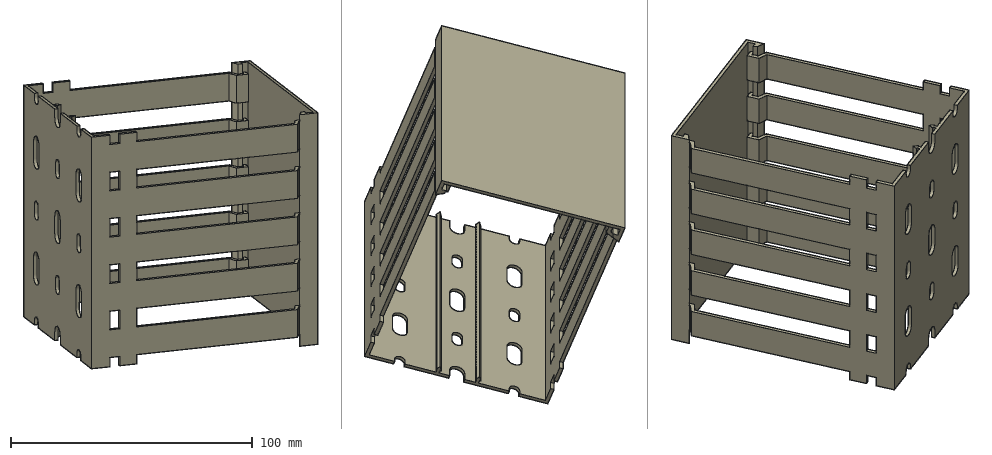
import cadquery as cq
WIDTH = 80.0
DEPTH = 100.0
LENGTH = 100.0
HALF_WIDTH = WIDTH / 2
FRONT = -DEPTH / 2
BACK = DEPTH / 2

SIDE_WALL = 1.6
FLOOR = 1.5

COVER_WALL = 1.5
COVER_LEG = 8.1
LIP_TOP = 4.6
LIP_NOSE = 6.4
LIP_REACH = 3.7
LIP_NOSE_REACH = 3.2

HOOK_TOP = 2.7
HOOK_UNDERSIDE = 4.2
HOOK_TIP_INSET = 1.9
HOOK_INNER_INSET = 3.8
HOOK_OUTER_INSET = 5.5
HOOK_BEND_OUTER = 7.0
HOOK_BEND_INNER = 8.1
FINGER_TOP_OUTER = 9.0
FINGER_TOP_INNER = 9.9

FINGER_PITCH = 20.0
SLOT_HEIGHT = 8.0
SLOT_FLOOR = 20.0
WINDOW_START = 8.2
WINDOW_END = 12.5

HOLE_PITCH = 25.0
LARGE_HOLE_WIDTH = 6.5
LARGE_HOLE_LENGTH = 14.0
SMALL_HOLE_WIDTH = 4.5
SMALL_HOLE_LENGTH = 8.0

RIB_OFFSET = 8.6
RIB_STEM = 1.4
RIB_HEAD = 2.4
RIB_BARB_HEIGHT = 1.3
RIB_HEIGHT = 3.3


def extrude_section(points):
    """Extrude a closed outline in the XY plane over the full length."""
    return cq.Workplane("XY").polyline(points).close().extrude(LENGTH / 2, both=True)


def mirrored_outline(right_half):
    """Close an outline that is symmetric about X = 0 from its right half."""
    return right_half + [(-x, y) for x, y in reversed(right_half)]


def at_side(inset, drop):
    """Point on the right side, by inset from the side face and drop from the cover face."""
    return (HALF_WIDTH - inset, BACK - drop)


def make_cover():
    return extrude_section(mirrored_outline([
        at_side(SIDE_WALL, COVER_WALL),
        at_side(SIDE_WALL, LIP_TOP),
        at_side(LIP_REACH, LIP_TOP),
        at_side(LIP_NOSE_REACH, LIP_NOSE),
        at_side(0, COVER_LEG),
        at_side(0, 0),
    ]))


def make_duct_shell():
    """Floor and two side walls, with the snap hooks along the wall ends."""
    return extrude_section(mirrored_outline([
        (HALF_WIDTH, FRONT),
        at_side(0, FINGER_TOP_OUTER),
        at_side(HOOK_INNER_INSET, HOOK_BEND_OUTER),
        at_side(HOOK_INNER_INSET, HOOK_UNDERSIDE),
        at_side(HOOK_TIP_INSET, HOOK_UNDERSIDE),
        at_side(HOOK_TIP_INSET, HOOK_TOP),
        at_side(HOOK_OUTER_INSET, HOOK_TOP),
        at_side(HOOK_OUTER_INSET, HOOK_BEND_INNER),
        at_side(SIDE_WALL, FINGER_TOP_INNER),
        (HALF_WIDTH - SIDE_WALL, FRONT + FLOOR),
    ]))


def make_rib(center_x):
    floor_y = FRONT + FLOOR
    barb_y = floor_y + RIB_BARB_HEIGHT
    right_half = [
        (RIB_STEM / 2, FRONT + FLOOR / 2),
        (RIB_STEM / 2, barb_y),
        (RIB_HEAD / 2, barb_y),
    ]
    tip = (0, floor_y + RIB_HEIGHT)
    left_half = [(-x, y) for x, y in reversed(right_half)]
    return extrude_section(right_half + [tip] + left_half).translate((center_x, 0, 0))


def side_cut(start_y, end_y, center_z):
    """Rectangular cut of slot height passing through both side walls."""
    return (
        cq.Workplane("XY")
        .box(WIDTH, end_y - start_y, SLOT_HEIGHT)
        .translate((0, (start_y + end_y) / 2, center_z))
    )


def floor_holes(width, length, positions):
    """Round-ended slots through the floor, at (x, z) positions."""
    return (
        cq.Workplane("XZ", origin=(0, FRONT, 0))
        .pushPoints(positions)
        .slot2D(length, width, 90)
        .extrude(-FLOOR)
    )


def make_duct():
    duct = make_duct_shell()

    slot_count = round(LENGTH / FINGER_PITCH) + 1
    for i in range(slot_count):
        z = -LENGTH / 2 + i * FINGER_PITCH
        duct = duct.cut(side_cut(FRONT + SLOT_FLOOR, BACK, z))
        duct = duct.cut(side_cut(FRONT + WINDOW_START, FRONT + WINDOW_END, z))

    large_positions = []
    small_positions = []
    for column in range(-1, 2):
        for row in range(-2, 3):
            positions = small_positions if (column + row) % 2 else large_positions
            positions.append((column * HOLE_PITCH, row * HOLE_PITCH))
    duct = duct.cut(floor_holes(LARGE_HOLE_WIDTH, LARGE_HOLE_LENGTH, large_positions))
    duct = duct.cut(floor_holes(SMALL_HOLE_WIDTH, SMALL_HOLE_LENGTH, small_positions))

    for center_x in (-RIB_OFFSET, RIB_OFFSET):
        duct = duct.union(make_rib(center_x))
    return duct


duct = make_duct()
cover = make_cover()

result = cq.Compound.makeCompound([duct.val(), cover.val()])